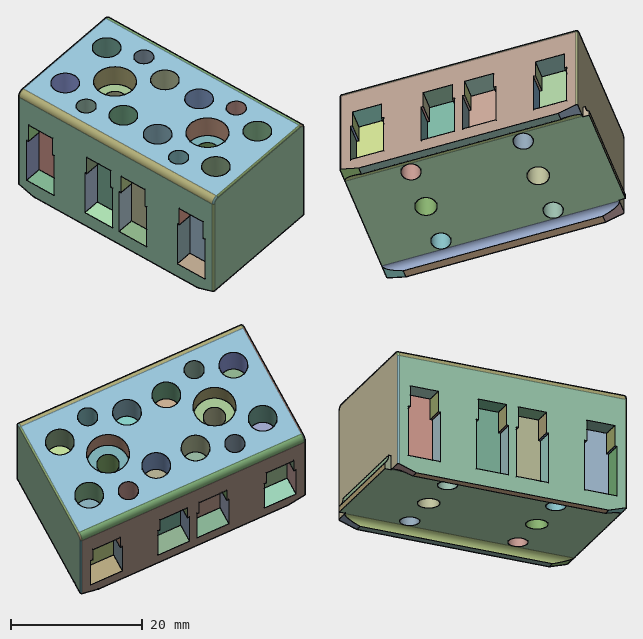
import cadquery as cq
import math


overall_length = 39.15
ledge_reach = 1.0
body_length = overall_length - ledge_reach
body_width = 22.0
body_height = 20.15
end_x = body_length / 2
side_y = body_width / 2
long_edge_radius = 1.0
end_edge_radius = 0.27

channel_depth = 1.0
foot_width = 1.25
channel_radius = 1.2
end_bevel_length = 3.05

ledge_width = 16.85
ledge_lip_top = 2.0
ledge_top = 3.4
ledge_top_reach = 0.4

station_offset = 9.0
mount_hole_diameter = 3.4
counterbore_diameter = 6.5
counterbore_depth = 3.68
side_hole_diameter = 3.05
side_hole_y = 6.95

terminal_offset = 5.68
screw_hole_diameter = 4.35
screw_hole_y = 5.0
pocket_depth = 3.0
pocket_width = 5.35
pocket_neck_width = 4.65
pocket_floor = 2.65
pocket_shoulder = 10.95
pocket_roof = 14.4
screw_hole_depth = body_height - pocket_roof

station_xs = [-station_offset, station_offset]
terminal_xs = [x + side * terminal_offset for x in station_xs for side in (-1, 1)]


def make_body():
    """Block with rounded long top edges and small rounds around both end faces."""
    block = cq.Workplane("XY").box(body_length, body_width, body_height, centered=(True, True, False))
    block = block.edges("|X and >Z").fillet(long_edge_radius)
    return block.faces("<X or >X").edges("not <Z").fillet(end_edge_radius)


def make_end_bevel(direction):
    """Wedge that slopes the underside up towards one end of the body."""
    return (
        cq.Workplane("XZ")
        .moveTo(direction * end_x, 0)
        .lineTo(direction * (end_x - end_bevel_length), 0)
        .lineTo(direction * end_x, channel_depth)
        .close()
        .extrude(side_y, both=True)
    )


def make_channel():
    """Shallow channel along the underside, with an arc up each side that runs smoothly into its roof."""
    mouth_y = side_y - foot_width
    arc_run = math.sqrt(channel_radius**2 - (channel_radius - channel_depth) ** 2)
    roof_y = mouth_y - arc_run
    return (
        cq.Workplane("YZ")
        .moveTo(-mouth_y, 0)
        .radiusArc((-roof_y, channel_depth), channel_radius)
        .lineTo(roof_y, channel_depth)
        .radiusArc((mouth_y, 0), channel_radius)
        .close()
        .extrude(end_x, both=True)
    )


def make_ledge():
    """Ledge with a hollowed upper face that starts vertical and curves outwards to the lip."""
    curve_run = ledge_reach - ledge_top_reach
    curve_drop = ledge_top - ledge_lip_top
    curve_radius = (curve_run**2 + curve_drop**2) / (2 * curve_run)
    half_angle = math.asin(curve_drop / curve_radius) / 2
    top_x = -end_x - ledge_top_reach
    lip_x = -end_x - ledge_reach
    curve_middle = (
        top_x - curve_radius * (1 - math.cos(half_angle)),
        ledge_top - curve_radius * math.sin(half_angle),
    )
    root_x = -end_x + end_edge_radius
    return (
        cq.Workplane("XZ")
        .moveTo(root_x, channel_depth)
        .lineTo(root_x, ledge_top)
        .lineTo(top_x, ledge_top)
        .threePointArc(curve_middle, (lip_x, ledge_lip_top))
        .lineTo(lip_x, channel_depth)
        .close()
        .extrude(ledge_width / 2, both=True)
    )


def drill(part, points, diameter, depth):
    """Cut round holes down from the top face."""
    top_face = cq.Workplane("XY", origin=(0, 0, body_height))
    holes = top_face.pushPoints(points).circle(diameter / 2).extrude(-depth)
    return part.cut(holes)


def make_pocket(x, side):
    """Stepped terminal pocket in the long face on one side: wide below, narrower above."""
    centre_y = side * (side_y - pocket_depth / 2)
    floor = cq.Workplane("XY", origin=(x, centre_y, pocket_floor))
    wide = floor.rect(pocket_width, pocket_depth).extrude(pocket_shoulder - pocket_floor)
    neck = floor.rect(pocket_neck_width, pocket_depth).extrude(pocket_roof - pocket_floor)
    return wide.union(neck)


result = make_body().cut(make_channel())
for direction in (-1, 1):
    result = result.cut(make_end_bevel(direction))
result = result.union(make_ledge())

mount_points = [(x, 0) for x in station_xs]
side_points = [(x, side * side_hole_y) for x in station_xs for side in (-1, 1)]
screw_points = [(x, side * screw_hole_y) for x in terminal_xs for side in (-1, 1)]
result = drill(result, mount_points, mount_hole_diameter, body_height)
result = drill(result, mount_points, counterbore_diameter, counterbore_depth)
result = drill(result, side_points, side_hole_diameter, body_height)
result = drill(result, screw_points, screw_hole_diameter, screw_hole_depth)

for x in terminal_xs:
    for side in (-1, 1):
        result = result.cut(make_pocket(x, side))